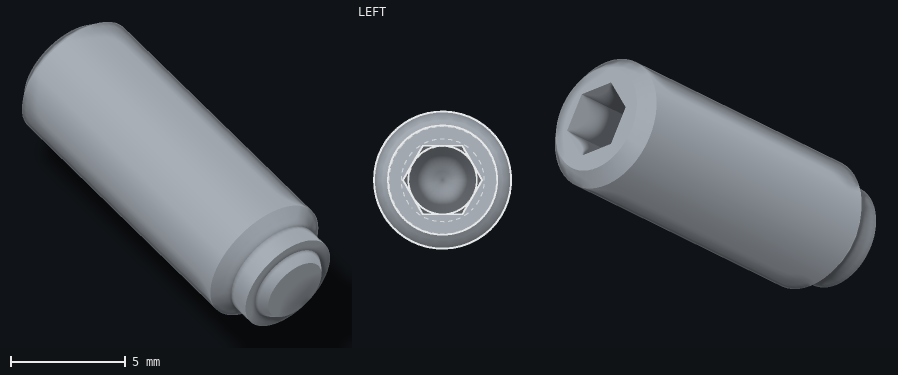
import cadquery as cq
import math

total_length = 16.1
body_diameter = 6.0
socket_end_chamfer = 0.61
pin_diameter = 4.7
pin_end = 15.6
cone_start = 13.95
ball_radius = 2.0
ball_flat_radius = 1.48
hex_across_flats = 3.0
hex_depth = 3.5
drill_point_angle = 120.0

body_radius = body_diameter / 2
pin_radius = pin_diameter / 2
cone_end = cone_start + body_radius - pin_radius
ball_center = total_length - math.sqrt(ball_radius**2 - ball_flat_radius**2)
ball_base_radius = math.sqrt(ball_radius**2 - (pin_end - ball_center) ** 2)
ball_mid_x = (pin_end + total_length) / 2
ball_mid_radius = math.sqrt(ball_radius**2 - (ball_mid_x - ball_center) ** 2)


def make_body():
    """Revolve the outer half profile about the X axis."""
    return (
        cq.Workplane("XY")
        .moveTo(0, 0)
        .lineTo(0, body_radius - socket_end_chamfer)
        .lineTo(socket_end_chamfer, body_radius)
        .lineTo(cone_start, body_radius)
        .lineTo(cone_end, pin_radius)
        .lineTo(pin_end, pin_radius)
        .lineTo(pin_end, ball_base_radius)
        .threePointArc((ball_mid_x, ball_mid_radius), (total_length, ball_flat_radius))
        .lineTo(total_length, 0)
        .close()
        .revolve(360, (0, 0, 0), (1, 0, 0))
    )


def make_socket():
    """Hexagonal socket with corners along Y and a conical drill point at its floor."""
    corner_diameter = hex_across_flats / math.cos(math.pi / 6)
    hexagon = cq.Workplane("YZ").polygon(6, corner_diameter).extrude(hex_depth)
    drill_radius = hex_across_flats / 2
    point_length = drill_radius / math.tan(math.radians(drill_point_angle / 2))
    drill_point = cq.Workplane(
        cq.Solid.makeCone(
            drill_radius, 0, point_length, cq.Vector(hex_depth, 0, 0), cq.Vector(1, 0, 0)
        )
    )
    return hexagon.union(drill_point)


result = make_body().cut(make_socket())